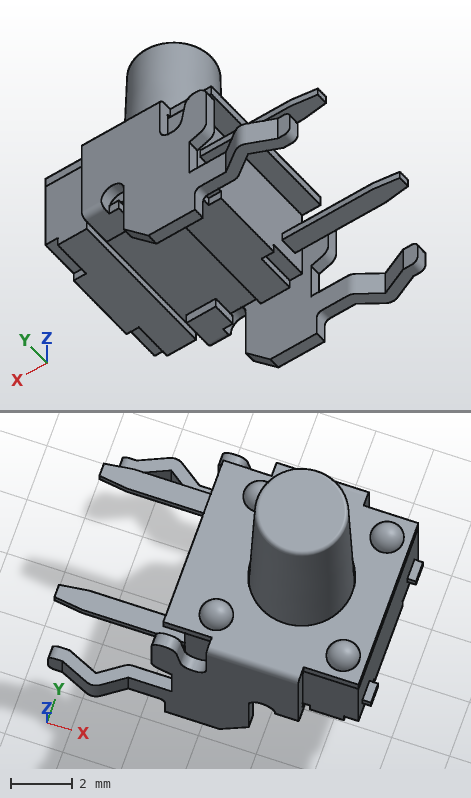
import cadquery as cq
import math


overall_height = 12.3
plunger_top = 5.82
leg_bottom = plunger_top - overall_height

housing_side = 6.0
housing_bottom = -3.63
pocket_ceiling = -3.28
pocket_length = 2.63
corner_notch_x = 0.5
corner_notch_y = 1.55

plunger_hole_diameter = 3.5
plunger_base_diameter = 3.42
plunger_top_diameter = 3.06
plunger_edge_radius = 0.14

pin_spacing = 4.5
pin_width = 0.71
pin_tip_width = 0.45
pin_thickness = 0.31
pin_z = -2.47
pin_tip_x = -7.7
pin_taper_x = -6.69
pin_end_x = 3.3

plate_thickness = 0.39
plate_left = -3.75
plate_right = housing_side / 2
dome_spacing = 4.39
dome_radius = 0.55
dome_height = 0.43

leg_outer_y = 3.57
leg_thickness = 0.44
leg_inner_y = leg_outer_y - leg_thickness
leg_middle_y = leg_outer_y - leg_thickness / 2
bend_radius = 0.23
bend_left = -2.08
bend_right = 1.11

hook_left = -3.97
hook_right = -3.16
hook_top = -0.68
slot_left = -2.9
slot_bottom = -1.99
heel_z = -2.7
hook_corner_radius = 0.39
throat_x = -3.27
throat_top = -2.98
foot_left = -3.5
foot_right = -0.6
foot_chamfer = 1.01
foot_corner_radius = 0.22
relief_radius = 0.45

arm_top = -4.48
arm_bottom = leg_bottom + foot_chamfer
arm_end_x = -7.49
arm_end_radius = 0.25
arm_tip_bend_x = -6.9
arm_apex_x = -5.82
arm_root_bend_x = -4.91
arm_tip_inner_y = 3.28
arm_apex_inner_y = 3.76
arm_bend_radius = 0.48

tab_left = -0.09
tab_bottom = pocket_ceiling - plate_thickness
tab_inner_y = 2.19


def box(x_range, y_range, z_range):
    """Axis-aligned box between pairs of limits."""
    (x0, x1), (y0, y1), (z0, z1) = x_range, y_range, z_range
    return cq.Workplane("XY").box(x1 - x0, y1 - y0, z1 - z0, centered=False).translate((x0, y0, z0))


def make_housing_block():
    """Square block with a slot across its underside and four notched lower corners."""
    half = housing_side / 2
    pocket_half = pocket_length / 2
    block = box((-half, half), (-half, half), (pocket_ceiling, -plate_thickness))
    foot = box((pocket_half, half), (-half, half), (housing_bottom, pocket_ceiling))
    for side in (-1, 1):
        notch = (
            cq.Workplane("XY")
            .box(2 * corner_notch_x, 2 * corner_notch_y, overall_height)
            .translate((half, side * half, 0))
        )
        foot = foot.cut(notch)
    return block.union(foot).union(foot.mirror("YZ"))


def make_plunger():
    """Tapered round plunger with a rounded top edge."""
    base_radius = plunger_base_diameter / 2
    taper = (plunger_base_diameter - plunger_top_diameter) / 2 / plunger_top
    root_radius = base_radius + taper * plate_thickness
    outline = [
        (0, -plate_thickness),
        (root_radius, -plate_thickness),
        (plunger_top_diameter / 2, plunger_top),
        (0, plunger_top),
    ]
    plunger = cq.Workplane("XZ").polyline(outline).close().revolve(360, (0, 0), (0, 1))
    return plunger.faces(">Z").edges().fillet(plunger_edge_radius)


def make_pin(y):
    """Flat contact pin along X with a tapered tip."""
    half = pin_width / 2
    tip_half = pin_tip_width / 2
    outline = [
        (pin_tip_x, y - tip_half),
        (pin_taper_x, y - half),
        (pin_end_x, y - half),
        (pin_end_x, y + half),
        (pin_taper_x, y + half),
        (pin_tip_x, y + tip_half),
    ]
    pin = cq.Workplane("XY").polyline(outline).close().extrude(pin_thickness)
    return pin.translate((0, 0, pin_z - pin_thickness / 2))


def make_housing():
    """Housing with its plunger and two contact pins."""
    housing = make_housing_block().union(make_plunger())
    for side in (-1, 1):
        housing = housing.union(make_pin(side * pin_spacing / 2))
    return housing


def make_dome(x, y):
    """Spherical cap that stands on the plate."""
    outline = (
        cq.Workplane("XZ")
        .moveTo(0, -plate_thickness / 2)
        .lineTo(dome_radius, -plate_thickness / 2)
        .lineTo(dome_radius, 0)
    )
    sphere_radius = (dome_radius**2 + dome_height**2) / (2 * dome_height)
    half_angle = math.asin(dome_radius / sphere_radius) / 2
    middle = (
        sphere_radius * math.sin(half_angle),
        dome_height - sphere_radius * (1 - math.cos(half_angle)),
    )
    dome = outline.threePointArc(middle, (0, dome_height)).close().revolve(360, (0, 0), (0, 1))
    return dome.translate((x, y, 0))


def make_plate():
    """Top plate with the plunger hole, the strip that joins the legs and four domes."""
    half = housing_side / 2
    plate = box((plate_left, plate_right), (-half, half), (-plate_thickness, 0))
    strip = box((bend_left, bend_right), (-leg_inner_y, leg_inner_y), (-plate_thickness, 0))
    hole = cq.Workplane("XY").circle(plunger_hole_diameter / 2).extrude(-plate_thickness)
    plate = plate.union(strip).cut(hole)
    for x in (-dome_spacing / 2, dome_spacing / 2):
        for y in (-dome_spacing / 2, dome_spacing / 2):
            plate = plate.union(make_dome(x, y))
    return plate


def fillet_nearest(solid, point, radius):
    """Round the edge whose middle is nearest to a point."""
    return solid.edges(cq.selectors.NearestToPointSelector(point)).fillet(radius)


def make_leg_plate():
    """Flat leg on the +Y side: hook, slot, foot, relief and the two bent edges."""
    relief_x = foot_right + relief_radius
    relief_right = relief_x + relief_radius
    relief_z = tab_bottom + bend_radius
    leg = (
        cq.Workplane("XZ", origin=(0, leg_outer_y, 0))
        .moveTo(bend_right, 0)
        .lineTo(bend_left, 0)
        .lineTo(bend_left, slot_bottom)
        .lineTo(slot_left, slot_bottom)
        .lineTo(hook_right, hook_top)
        .lineTo(hook_left, hook_top)
        .lineTo(hook_left, heel_z)
        .lineTo(throat_x, throat_top)
        .lineTo(throat_x, arm_bottom)
        .lineTo(foot_left, arm_bottom)
        .lineTo(foot_left, leg_bottom)
        .lineTo(foot_right - foot_chamfer, leg_bottom)
        .lineTo(foot_right, arm_bottom)
        .lineTo(foot_right, relief_z)
        .threePointArc((relief_x, relief_z + relief_radius), (relief_right, relief_z))
        .lineTo(relief_right, tab_bottom)
        .lineTo(bend_right, tab_bottom)
        .close()
        .extrude(leg_thickness)
    )
    round_corners = [
        (bend_left, slot_bottom),
        (slot_left, slot_bottom),
        (hook_right, hook_top),
        (hook_left, hook_top),
        (hook_left, heel_z),
    ]
    for x, z in round_corners:
        leg = fillet_nearest(leg, (x, leg_middle_y, z), hook_corner_radius)
    top_edge = ((bend_left + bend_right) / 2, leg_outer_y, 0)
    bottom_edge = ((relief_right + bend_right) / 2, leg_outer_y, tab_bottom)
    for edge in (top_edge, bottom_edge):
        leg = fillet_nearest(leg, edge, bend_radius)
    return leg


def offset_corner(before, corner, after, distance):
    """Point where the two lines through a corner meet after both shift to their left."""
    angle_in = math.atan2(corner[1] - before[1], corner[0] - before[0])
    angle_out = math.atan2(after[1] - corner[1], after[0] - corner[0])
    direction = (angle_in + angle_out) / 2 + math.pi / 2
    length = distance / math.cos((angle_out - angle_in) / 2)
    return (corner[0] + length * math.cos(direction), corner[1] + length * math.sin(direction))


def make_arm():
    """Snap arm on the +Y side: a strip of constant thickness with an outward kink."""
    end = (arm_end_x, arm_tip_inner_y)
    tip_bend = (arm_tip_bend_x, arm_tip_inner_y)
    apex = (arm_apex_x, arm_apex_inner_y)
    root_bend = (arm_root_bend_x, leg_inner_y)
    root = (throat_x, leg_inner_y)
    outer_tip_bend = offset_corner(end, tip_bend, apex, leg_thickness)
    outer_apex = offset_corner(tip_bend, apex, root_bend, leg_thickness)
    outer_root_bend = offset_corner(apex, root_bend, root, leg_thickness)
    outline = [
        end,
        tip_bend,
        apex,
        root_bend,
        root,
        (throat_x, leg_outer_y),
        outer_root_bend,
        outer_apex,
        outer_tip_bend,
        (arm_end_x, arm_tip_inner_y + leg_thickness),
    ]
    arm = (
        cq.Workplane("XY", origin=(0, 0, arm_bottom))
        .polyline(outline)
        .close()
        .extrude(arm_top - arm_bottom)
    )
    arm_middle_z = (arm_bottom + arm_top) / 2
    for x, y in (outer_apex, root_bend):
        arm = fillet_nearest(arm, (x, y, arm_middle_z), arm_bend_radius)
    return arm.faces("<X").edges("|Y").fillet(arm_end_radius)


def make_side():
    """Everything that hangs from the plate on the +Y side."""
    tab = box((tab_left, bend_right), (tab_inner_y, leg_inner_y), (tab_bottom, pocket_ceiling))
    side = make_leg_plate().union(make_arm()).union(tab)
    return fillet_nearest(side, (foot_left, leg_middle_y, arm_bottom), foot_corner_radius)


def make_bracket():
    """Plate with a mirrored leg, arm and tab on each side."""
    side = make_side()
    return make_plate().union(side).union(side.mirror("XZ"))


housing = make_housing()
bracket = make_bracket()

result = cq.Compound.makeCompound([*housing.solids().vals(), *bracket.solids().vals()])